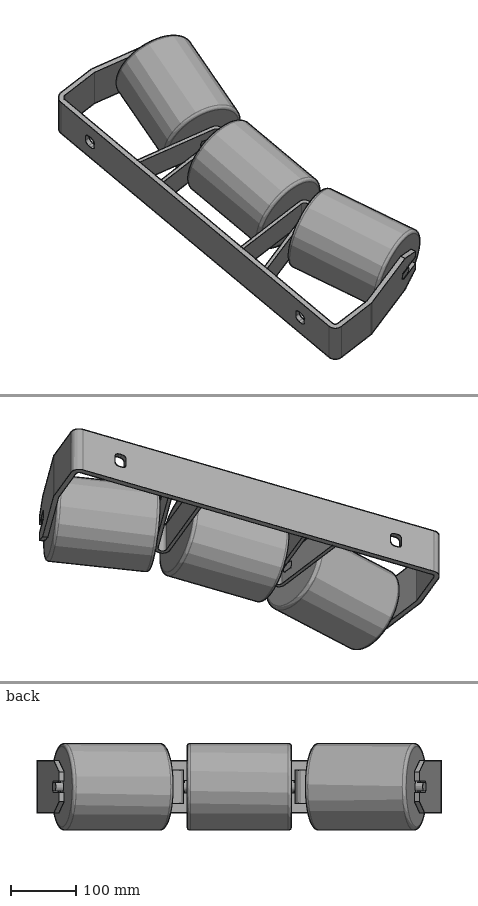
import cadquery as cq
import math

FRAME_LENGTH = 620.0
FRAME_HEIGHT = 80.0
PLATE_THICKNESS = 8.0
CORNER_RADIUS = 13.5
BEND_Y = 77.5
LEAN_ANGLE = 15.0
ARM_LENGTH = 131.0

TIP_CLIP_LENGTH = 31.0
TIP_CLIP_HEIGHT = 17.5
ARM_SLOT_WIDTH = 17.5

MOUNT_SLOT_X = 232.5
MOUNT_SLOT_WIDTH = 18.5
MOUNT_SLOT_LENGTH = 24.0
MOUNT_SLOT_CORNER_RADIUS = 7.0

ROLLER_DIAMETER = 133.0
ROLLER_LENGTH = 160.0
ROLLER_EDGE_RADIUS = 5.0
AXLE_DIAMETER = 20.0
AXLE_FLAT_WIDTH = 13.5
SHOULDER_DISTANCE = 84.0
MIDDLE_ROLLER_Y = 125.0
SIDE_ROLLER_X = 194.5
SIDE_ROLLER_Y = 151.0

DIVIDER_HEIGHT = 51.0
DIVIDER_THICKNESS = 5.5
DIVIDER_BEND_RADIUS = 12.5
DIVIDER_FACE_X = 85.5
DIVIDER_TOP_Y = 151.0

LEAN = math.radians(LEAN_ANGLE)
SIN_LEAN = math.sin(LEAN)
COS_LEAN = math.cos(LEAN)
HALF_LENGTH = FRAME_LENGTH / 2
BEND_CENTRE_X = DIVIDER_FACE_X + DIVIDER_BEND_RADIUS
BEND_CENTRE_Y = DIVIDER_TOP_Y - DIVIDER_BEND_RADIUS


def distance_along_side_axle(x, y):
    """Distance of a point from the side roller's middle, outward along the right-hand axle."""
    return (x - SIDE_ROLLER_X) * COS_LEAN + (y - SIDE_ROLLER_Y) * SIN_LEAN


ARM_OUTER_FACE = distance_along_side_axle(HALF_LENGTH, BEND_Y)
ARM_INNER_FACE = ARM_OUTER_FACE - PLATE_THICKNESS
LEG_OUTER_FACE = -distance_along_side_axle(BEND_CENTRE_X, BEND_CENTRE_Y) - DIVIDER_BEND_RADIUS
LEG_INNER_FACE = LEG_OUTER_FACE + DIVIDER_THICKNESS


def mirrored_pair(right_half):
    """The right-hand shape and its mirror image on the left."""
    return [right_half, right_half.mirror("YZ")]


def place_on_side_axle(shape):
    """Move a shape built along X at the origin onto the right-hand side roller's axle."""
    turned = shape.rotate((0, 0, 0), (0, 0, 1), LEAN_ANGLE)
    return turned.translate((SIDE_ROLLER_X, SIDE_ROLLER_Y, 0))


def box_between(x_start, x_end, y_start, y_end, height):
    """Box centred on Z = 0 between the given X and Y limits."""
    box = cq.Workplane("XY").box(x_end - x_start, y_end - y_start, height, centered=(False, False, True))
    return box.translate((x_start, y_start, 0))


def cylinder_along_x(diameter, x_start, x_end):
    """Cylinder on the X axis between two X positions."""
    return cq.Workplane("YZ", origin=(x_start, 0, 0)).circle(diameter / 2).extrude(x_end - x_start)


def flatted_end(x_start, x_end):
    """Length of axle with two flats that face up and down."""
    flats = box_between(x_start, x_end, -AXLE_DIAMETER, AXLE_DIAMETER, AXLE_FLAT_WIDTH)
    return cylinder_along_x(AXLE_DIAMETER, x_start, x_end).intersect(flats)


def roller(left_end, right_end):
    """Roller along X with its axle; each end is given as its distance from the roller's middle."""
    drum = cylinder_along_x(ROLLER_DIAMETER, -ROLLER_LENGTH / 2, ROLLER_LENGTH / 2)
    drum = drum.edges().fillet(ROLLER_EDGE_RADIUS)
    round_axle = cylinder_along_x(AXLE_DIAMETER, -SHOULDER_DISTANCE, SHOULDER_DISTANCE)
    return drum.union(round_axle).union(flatted_end(-left_end, right_end))


def side_roller():
    """Right-hand roller, tilted to meet the leaning arm squarely."""
    return place_on_side_axle(roller(LEG_INNER_FACE, ARM_OUTER_FACE))


def middle_roller():
    """Roller fixed between the upright divider legs."""
    axle_end = DIVIDER_FACE_X + DIVIDER_THICKNESS
    fixed = roller(axle_end, axle_end)
    return fixed.translate((0, MIDDLE_ROLLER_Y, 0))


def bent_strip():
    """Base, upright ends and leaning arms, with rounded corners between base and ends."""
    tip_x = HALF_LENGTH - ARM_LENGTH * SIN_LEAN
    tip_y = BEND_Y + ARM_LENGTH * COS_LEAN
    inner_tip_x = tip_x - PLATE_THICKNESS * COS_LEAN
    inner_tip_y = tip_y - PLATE_THICKNESS * SIN_LEAN
    inner_x = HALF_LENGTH - PLATE_THICKNESS
    inner_bend_y = BEND_Y - PLATE_THICKNESS * math.tan(LEAN / 2)
    right_side = [
        (HALF_LENGTH, 0),
        (HALF_LENGTH, BEND_Y),
        (tip_x, tip_y),
        (inner_tip_x, inner_tip_y),
        (inner_x, inner_bend_y),
        (inner_x, PLATE_THICKNESS),
    ]
    left_side = [(-x, y) for x, y in reversed(right_side)]
    strip = cq.Workplane("XY").polyline(right_side + left_side).close()
    strip = strip.extrude(FRAME_HEIGHT / 2, both=True)
    for x, y, radius in (
        (HALF_LENGTH, 0, CORNER_RADIUS),
        (HALF_LENGTH, BEND_Y, PLATE_THICKNESS),
        (inner_x, PLATE_THICKNESS, CORNER_RADIUS - PLATE_THICKNESS),
    ):
        for side in (-1, 1):
            strip = strip.edges(cq.selectors.NearestToPointSelector((side * x, y, 0))).fillet(radius)
    return strip


def arm_tip_cut():
    """Material removed from the right arm's tip: clipped corners and the axle slot."""
    tip = -(HALF_LENGTH - SIDE_ROLLER_X) * SIN_LEAN + (BEND_Y - SIDE_ROLLER_Y) * COS_LEAN + ARM_LENGTH
    top = FRAME_HEIGHT / 2
    plane = cq.Workplane("YZ", origin=(ARM_INNER_FACE, 0, 0))
    clip = plane.polyline([(tip - TIP_CLIP_LENGTH, top), (tip, top), (tip, top - TIP_CLIP_HEIGHT)]).close()
    clip = clip.extrude(PLATE_THICKNESS)
    slot = box_between(ARM_INNER_FACE, ARM_OUTER_FACE, 0, tip, ARM_SLOT_WIDTH)
    seat = cylinder_along_x(AXLE_DIAMETER, ARM_INNER_FACE, ARM_OUTER_FACE)
    seat = seat.intersect(box_between(ARM_INNER_FACE, ARM_OUTER_FACE, -tip, tip, ARM_SLOT_WIDTH))
    return place_on_side_axle(clip.union(clip.mirror("XY")).union(slot).union(seat))


def mounting_slots():
    """Two upright through slots with rounded corners in the base."""
    slots = cq.Workplane("XZ").pushPoints([(-MOUNT_SLOT_X, 0), (MOUNT_SLOT_X, 0)])
    slots = slots.rect(MOUNT_SLOT_WIDTH, MOUNT_SLOT_LENGTH).extrude(-PLATE_THICKNESS)
    return slots.edges("|Y").fillet(MOUNT_SLOT_CORNER_RADIUS)


def divider():
    """Right-hand hairpin divider, with a fitting hole for the side roller's axle."""

    def hairpin(radius):
        foot_y = PLATE_THICKNESS
        lean_x = BEND_CENTRE_X + radius * COS_LEAN
        lean_y = BEND_CENTRE_Y + radius * SIN_LEAN
        foot_x = lean_x + (lean_y - foot_y) * math.tan(LEAN)
        outline = cq.Workplane("XY").moveTo(BEND_CENTRE_X - radius, foot_y)
        outline = outline.lineTo(BEND_CENTRE_X - radius, BEND_CENTRE_Y)
        outline = outline.threePointArc((BEND_CENTRE_X, BEND_CENTRE_Y + radius), (lean_x, lean_y))
        return outline.lineTo(foot_x, foot_y).close().extrude(DIVIDER_HEIGHT / 2, both=True)

    plate = hairpin(DIVIDER_BEND_RADIUS).cut(hairpin(DIVIDER_BEND_RADIUS - DIVIDER_THICKNESS))
    return plate.cut(place_on_side_axle(flatted_end(-LEG_INNER_FACE, -LEG_OUTER_FACE)))


def frame_with_middle_roller():
    """Strip, dividers and the fixed middle roller as one body."""
    body = bent_strip().cut(mounting_slots())
    for cut in mirrored_pair(arm_tip_cut()):
        body = body.cut(cut)
    for plate in mirrored_pair(divider()):
        body = body.union(plate)
    return body.union(middle_roller())


frame = frame_with_middle_roller()
side_rollers = mirrored_pair(side_roller())

result = cq.Compound.makeCompound([frame.val(), *[each.val() for each in side_rollers]])